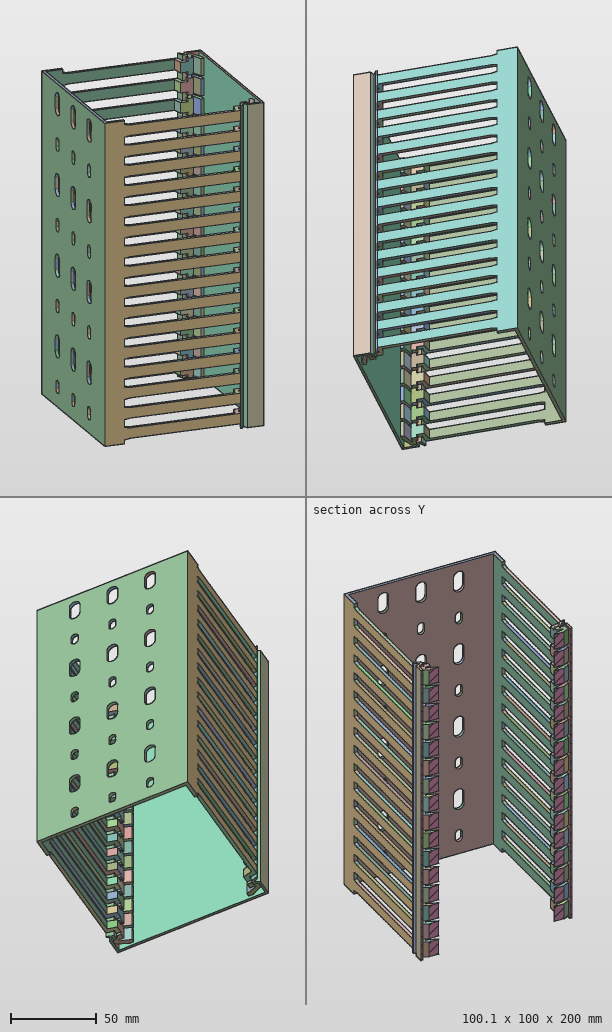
import cadquery as cq

width = 100.1
depth = 100.0
length = 200.0
half_width = width / 2
half_depth = depth / 2

back_wall = 2.0
side_wall = 2.2
lid_wall = 1.5


leg_drop = 10.4
groove_inset = 3.0
groove_drop = 11.7
heel_drop = 9.2
hook_inset = 4.6
hook_bottom_drop = 13.1
lip_drop = 13.7

joint_drop = 14.65
bend_inset = 2.9
recess_inset = 5.2
recess_roof_drop = 10.0
recess_floor_drop = 14.0

head_inset = 8.2
head_top_drop = 7.9
head_bottom_drop = 15.8
head_blend_drop = 17.2
crook_inset = 4.5
crook_drop = 7.2
head_root_inset = 5.3
tongue_root_drop = 6.2
tongue_bend_inset = 8.8
tongue_tip_inset = 11.9
tongue_tip_drop = 4.6
tongue_top_drop = 2.5

slot_pitch = 12.5
slot_width = 6.0
slot_end_width = 4.8
slot_taper_length = 3.4
slot_end_height = 12.5
head_slot_width = 2.0
widen_drop = 11.3

hole_columns = 3
hole_pitch_x = 25.0
hole_pitch_z = 50.0
large_hole_length = 14.0
large_hole_width = 7.0
small_hole_length = 8.0
small_hole_width = 4.6
large_hole_offset = 12.5
small_hole_offset = large_hole_offset + hole_pitch_z / 2


def extrude_symmetric(left_half):
    """Mirror the left half of a section about X = 0 and extrude it along Z."""
    left = [(inset - half_width, half_depth - drop) for inset, drop in left_half]
    right = [(-x, y) for x, y in reversed(left)]
    return cq.Workplane("XY").polyline(left + right).close().extrude(length)


def side_slots():
    """Cutters through both side walls that leave the fingers, open toward the lid."""
    count = round(length / slot_pitch) + 1
    end_y = slot_end_height - half_depth
    taper_y = end_y + slot_taper_length
    widen_y = half_depth - widen_drop
    upper = [
        (half_depth, head_slot_width / 2),
        (widen_y, head_slot_width / 2),
        (widen_y, slot_width / 2),
        (taper_y, slot_width / 2),
        (end_y, slot_end_width / 2),
    ]
    lower = [(y, -z) for y, z in reversed(upper)]
    cutter = (
        cq.Workplane("YZ", origin=(-half_width, 0, 0))
        .polyline(upper + lower)
        .close()
        .extrude(width)
        .val()
    )
    copies = [cutter.translate(cq.Vector(0, 0, i * slot_pitch)) for i in range(count)]
    return cq.Compound.makeCompound(copies)


def mounting_holes(hole_length, hole_width, offset):
    """Grid of upright oblong cutters through the back wall, starting offset below the top end."""
    rows = round(length / hole_pitch_z)
    centres = [
        ((column - (hole_columns - 1) / 2) * hole_pitch_x, length - offset - row * hole_pitch_z)
        for column in range(hole_columns)
        for row in range(rows)
    ]
    return (
        cq.Workplane("XZ", origin=(0, -half_depth, 0))
        .pushPoints(centres)
        .slot2D(hole_length, hole_width, 90)
        .extrude(-back_wall)
    )


def make_duct():
    section = [
        (0, depth),
        (0, joint_drop),
        (bend_inset, recess_floor_drop),
        (recess_inset, recess_floor_drop),
        (recess_inset, recess_roof_drop),
        (bend_inset, recess_roof_drop),
        (lid_wall, heel_drop),
        (lid_wall, tongue_root_drop),
        (tongue_bend_inset, tongue_top_drop),
        (tongue_tip_inset, tongue_top_drop),
        (tongue_tip_inset, tongue_tip_drop),
        (crook_inset, crook_drop),
        (head_root_inset, head_top_drop),
        (head_inset, head_top_drop),
        (head_inset, head_bottom_drop),
        (side_wall, head_blend_drop),
        (side_wall, depth - back_wall),
    ]
    duct = extrude_symmetric(section).cut(side_slots())
    duct = duct.cut(mounting_holes(large_hole_length, large_hole_width, large_hole_offset))
    return duct.cut(mounting_holes(small_hole_length, small_hole_width, small_hole_offset))


def make_lid():
    section = [
        (0, 0),
        (0, leg_drop),
        (groove_inset, groove_drop),
        (0, lip_drop),
        (0, joint_drop),
        (hook_inset, hook_bottom_drop),
        (hook_inset, recess_roof_drop),
        (bend_inset, recess_roof_drop),
        (lid_wall, heel_drop),
        (lid_wall, lid_wall),
    ]
    return extrude_symmetric(section)


duct = make_duct()
lid = make_lid()
result = cq.Compound.makeCompound([duct.val(), lid.val()])